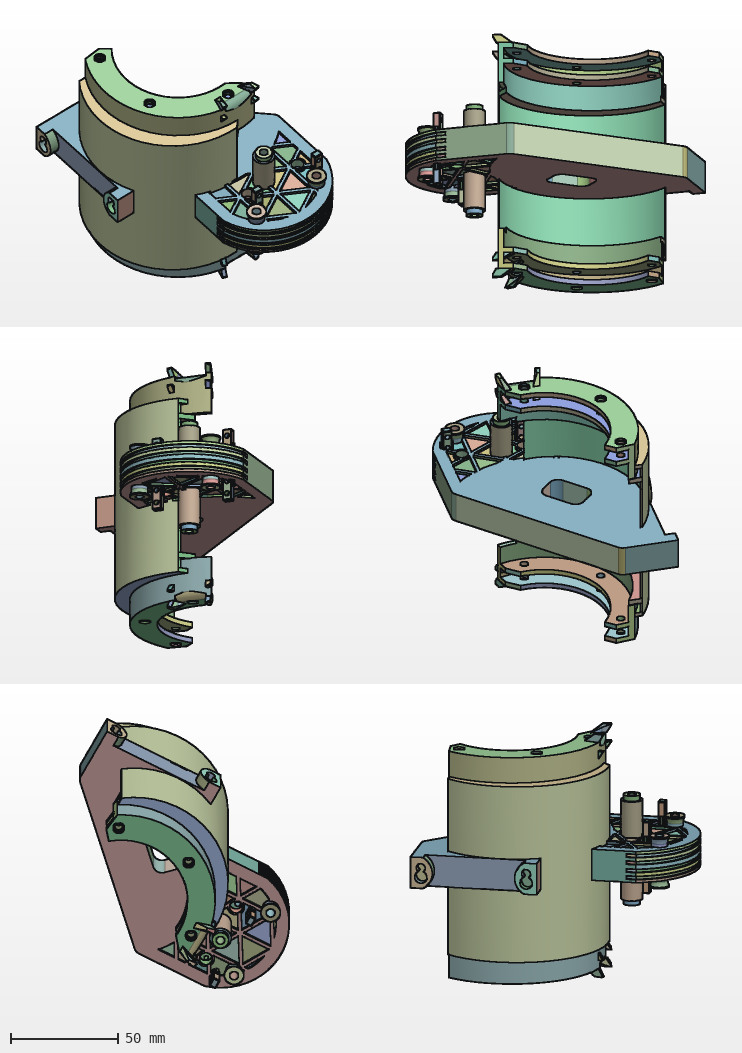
import cadquery as cq
import math


OVERALL_HALF = 117.1 / 2

PLATE_HALF = 7.5
PLATE_LEFT = -36.9
PLATE_TOP = 37.0
PLATE_CORNER_RADIUS = 4.3
SLOPE_OFFSET = 9.5
FOOT_BOTTOM = -54.87
FOOT_RIGHT = 23.0

LOBE_CENTER = (55.68, 6.1)
LOBE_RADIUS = 32.0
LOBE_FLAT = PLATE_TOP - LOBE_CENTER[1]

FOOT_RECESS_TOP = -50.0
FOOT_MID_X = (PLATE_LEFT + FOOT_RIGHT) / 2
PAD_RADIUS = 8.6
PAD_CENTER_INSET = 1.8
KEYHOLE_INSET = 4.95
KEYHOLE_DEPTH = 4.0
KEYHOLE_SMALL = (2.1, 2.35)
KEYHOLE_LARGE = (2.9, -2.05)

WINDOW_CENTER = (15.0, -14.7)
WINDOW_SIZE = (21.6, 14.9)
WINDOW_RADIUS = 4.3

GRID_DEPTH = 1.2
GRID_RIM = 6.1
GRID_DRUM_CLEARANCE_RADIUS = 47.6
RIB_WIDTH = 1.75
RIB_PITCH = 17.3
RIB_ROW = RIB_PITCH * math.sin(math.radians(60))
RIB_NODE = (57.1, 20.6)
RIB_LENGTH = 120.0
RIB_ROWS = 3
RIB_COLUMNS = (-2, 4)

ROLLER_RADIUS = 5.05
ROLLER_HALF = 23.9
ROLLER_END_RADIUS = 3.9
ROLLER_END_HALF = 26.4
ROLLER_HOLE_RADIUS = 1.95
ROLLER_HOLE_DEPTH = 10.0

SPOOL_X = 72.5
SPOOL_OFFSET = 17.95
SPOOL_BODY_RADIUS = 3.85
SPOOL_FLANGE_RADIUS = 4.55
SPOOL_FLARE_START = 9.1
SPOOL_FLANGE_START = 11.6
SPOOL_HALF = 12.3
SPOOL_HOLE_RADIUS = 2.05

SOCKET_X = 57.9
SOCKET_RADIUS = 3.0
SOCKET_BOSS_RADIUS = 3.9
SOCKET_DEPTH = 5.0
SOCKETS = [
    (24.5, 0.9, 1.4, 1.0),
    (-5.1, 0.9, 0.0, 1.3),
]

STRIP_SIZE = (3.4, 4.5)
STRIP_HALF = 17.3
STRIP_CENTERS = [(65.3, 29.9), (65.3, -5.7)]
STRIP_CHAMFER = 0.4
STRIP_HOLE_RADIUS = 1.15
STRIP_HOLE_HEIGHTS = (8.1, 14.1)
STRIP_RIB_WIDTH = 1.2
STRIP_RIB_REACH = 0.8
STRIP_RIB_HALF = 10.4

GROOVE_DEPTH = 1.0
GROOVE_WIDTH = 1.6
GROOVE_HEIGHTS = (-5.3, -1.9, 1.9, 5.3)
GROOVE_START_X = 59.4

SHELL_CENTER = (3.65, -6.15)
SHELL_RADIUS = 43.6
SHELL_WALL = 0.8
SHELL_LEFT = -21.9
SHELL_RIGHT_CUT = 44.0
SHELL_HALF = 42.4
INNER_FLANGE = (32.7, 35.3)
OUTER_FLANGE = (40.3, SHELL_HALF)

CAP_OUTER_RADIUS = 43.7
CAP_INNER_RADIUS = 30.9
CAP_WALL_RADIUS = 41.2
CAP_HALF = 54.65
CAP_WALL_START = INNER_FLANGE[1]
CAP_PLATES = [(44.5, 47.0), (52.1, CAP_HALF)]
CAP_LEFT_ANGLE = -129.1
CAP_RIGHT_ANGLE = 6.3
CAP_LEFT_CORNER = (-23.25, -28.6)
CAP_RIGHT_CORNER = (35.5, 9.4)
CAP_LEFT_END_X = -22.2
CAP_RIGHT_END_Y = 11.45
SCREW_CIRCLE = 36.9
SCREW_ANGLES = (0, -60, -120)
SCREW_RADIUS = 1.85
SCREW_HEAD_RADIUS = 2.6
SCREW_HEAD_DEPTH = 1.0

TAB_MID_Y = 1.2
TAB_PLAN = [(35.8, 6.4), (35.8, 9.5), (44.7, 12.0), (45.3, 9.8), (41.0, 8.4)]
TAB_ROOT_INNER_Y = 6.4
TAB_TIP_INNER_Y = 9.6
TAB_OUTER_Y = 12.0
TAB_ROOT_X = (36.0, 43.1)
TAB_TIP_X = (41.0, 45.3)
TAB_HEIGHTS = (3.4, OVERALL_HALF - CAP_HALF)
RIM_ROUND_RADIUS = 4.3
RIM_ROUND_INNER_X = 39.5
RIM_ROUND_Y = (-6.5, 9.0)


def polar(radius, degrees):
    angle = math.radians(degrees)
    return (radius * math.cos(angle), radius * math.sin(angle))


def both_sides(shape):
    return shape.union(shape.mirror("XY"))


def post(x, y, radius, half):
    """Round post centred on Z = 0."""
    return cq.Workplane("XY", origin=(x, y, -half)).circle(radius).extrude(2 * half)


def disc(center, radius, bottom, top):
    return cq.Workplane("XY", origin=(center[0], center[1], bottom)).circle(radius).extrude(top - bottom)



def shell_clip(bottom, top):
    """Block that keeps the stretch of drum between its left and right ends."""
    reach = 60.0
    tip_y = 9.0
    outline = [
        (SHELL_LEFT, -reach),
        (reach, -reach),
        (reach, SHELL_RIGHT_CUT - reach),
        (SHELL_RIGHT_CUT - tip_y, tip_y),
        (SHELL_LEFT, SHELL_CENTER[1] - SHELL_RADIUS / 2),
    ]
    return cq.Workplane("XY", origin=(0, 0, bottom)).polyline(outline).close().extrude(top - bottom)


def make_shell():
    outer = disc(SHELL_CENTER, SHELL_RADIUS, -SHELL_HALF, SHELL_HALF)
    inner = disc(SHELL_CENTER, SHELL_RADIUS - SHELL_WALL, -SHELL_HALF, SHELL_HALF)
    return outer.cut(inner).intersect(shell_clip(-SHELL_HALF, SHELL_HALF))


def make_flange(bottom, top):
    """Web between the cap wall and the shell."""
    web = disc(SHELL_CENTER, SHELL_RADIUS, bottom, top)
    web = web.cut(disc((0, 0), CAP_WALL_RADIUS, bottom, top))
    return web.intersect(shell_clip(bottom, top))


def cap_sector(bottom, top):
    """Full-width cap sector between its two angled ends."""
    middle_angle = (CAP_LEFT_ANGLE + CAP_RIGHT_ANGLE) / 2
    right_end = (math.sqrt(CAP_OUTER_RADIUS**2 - CAP_RIGHT_END_Y**2), CAP_RIGHT_END_Y)
    left_end = (CAP_LEFT_END_X, -math.sqrt(CAP_OUTER_RADIUS**2 - CAP_LEFT_END_X**2))
    return (
        cq.Workplane("XY", origin=(0, 0, bottom))
        .moveTo(*polar(CAP_INNER_RADIUS, CAP_LEFT_ANGLE))
        .threePointArc(polar(CAP_INNER_RADIUS, middle_angle), polar(CAP_INNER_RADIUS, CAP_RIGHT_ANGLE))
        .lineTo(*CAP_RIGHT_CORNER)
        .lineTo(*right_end)
        .threePointArc(polar(CAP_OUTER_RADIUS, middle_angle), left_end)
        .lineTo(*CAP_LEFT_CORNER)
        .close()
        .extrude(top - bottom)
    )


def make_tab(base, height):
    """Snap tab, shaped by its plan, its lengthwise profile and its sloped inner side."""
    tip = base + height
    span = 60.0
    plan = cq.Workplane("XY", origin=(0, 0, base)).polyline(TAB_PLAN).close().extrude(height)
    lengthwise = [(TAB_ROOT_X[0], base), (TAB_TIP_X[0], tip), (TAB_TIP_X[1], tip), (TAB_ROOT_X[1], base)]
    side = [
        (TAB_ROOT_INNER_Y, base),
        (TAB_OUTER_Y, base),
        (TAB_OUTER_Y, tip),
        (TAB_TIP_INNER_Y, tip),
    ]
    tab = plan.intersect(cq.Workplane("XZ").polyline(lengthwise).close().extrude(span, both=True))
    return tab.intersect(cq.Workplane("YZ").polyline(side).close().extrude(span))


def rim_round():
    """Material removed to round the cap's top outer rim between the tabs."""
    start, end = RIM_ROUND_Y
    low = CAP_HALF - RIM_ROUND_RADIUS
    length = end - start
    block = cq.Workplane("XY").box(2 * RIM_ROUND_RADIUS, length, RIM_ROUND_RADIUS, centered=False)
    block = block.translate((RIM_ROUND_INNER_X, start, low))
    core = cq.Workplane("XZ", origin=(RIM_ROUND_INNER_X, end, low)).circle(RIM_ROUND_RADIUS).extrude(length)
    return block.cut(core)


def make_cap():
    wall = cap_sector(CAP_WALL_START, CAP_HALF)
    cap = wall.cut(disc((0, 0), CAP_WALL_RADIUS, CAP_WALL_START, CAP_HALF))
    for bottom, top in CAP_PLATES:
        cap = cap.union(cap_sector(bottom, top))
    cap = cap.cut(rim_round())
    for angle in SCREW_ANGLES:
        place = polar(SCREW_CIRCLE, angle)
        cap = cap.cut(disc(place, SCREW_RADIUS, CAP_PLATES[0][0], CAP_HALF))
        cap = cap.cut(disc(place, SCREW_HEAD_RADIUS, CAP_HALF - SCREW_HEAD_DEPTH, CAP_HALF))
    for (_, top), height in zip(CAP_PLATES, TAB_HEIGHTS):
        tab = make_tab(top, height)
        opposite = tab.mirror("XZ").translate((0, 2 * TAB_MID_Y, 0))
        cap = cap.union(tab).union(opposite)
    return cap


def make_drum():
    end = make_cap().union(make_flange(*INNER_FLANGE)).union(make_flange(*OUTER_FLANGE))
    return make_shell().union(both_sides(end))



def lobe_disc(inset, bottom, top):
    """Lobe outline, moved inward by the inset."""
    height = top - bottom
    flats = cq.Workplane("XY", origin=(*LOBE_CENTER, bottom))
    flats = flats.rect(4 * LOBE_RADIUS, 2 * (LOBE_FLAT - inset)).extrude(height)
    return disc(LOBE_CENTER, LOBE_RADIUS - inset, bottom, top).intersect(flats)


def make_plate():
    lobe_bottom = LOBE_CENTER[1] - LOBE_FLAT
    inner_radius = SHELL_RADIUS - SHELL_WALL
    center_x, center_y = SHELL_CENTER
    foot_top = (FOOT_RIGHT, center_y - math.sqrt(inner_radius**2 - (FOOT_RIGHT - center_x) ** 2))
    lobe_root = (center_x + math.sqrt(inner_radius**2 - (lobe_bottom - center_y) ** 2), lobe_bottom)
    arc_middle_angle = math.radians(-45)
    arc_middle = (
        center_x + inner_radius * math.cos(arc_middle_angle),
        center_y + inner_radius * math.sin(arc_middle_angle),
    )
    slope_low = (PLATE_LEFT, PLATE_LEFT + SLOPE_OFFSET)
    slope_high = (PLATE_TOP - SLOPE_OFFSET, PLATE_TOP)
    body = (
        cq.Workplane("XY", origin=(0, 0, -PLATE_HALF))
        .moveTo(PLATE_LEFT, FOOT_BOTTOM)
        .lineTo(FOOT_RIGHT, FOOT_BOTTOM)
        .lineTo(*foot_top)
        .threePointArc(arc_middle, lobe_root)
        .lineTo(LOBE_CENTER[0], lobe_bottom)
        .lineTo(LOBE_CENTER[0], PLATE_TOP)
        .lineTo(*slope_high)
        .lineTo(*slope_low)
        .close()
        .extrude(2 * PLATE_HALF)
    )
    for corner in (slope_low, slope_high):
        edge = cq.selectors.NearestToPointSelector((*corner, 0))
        body = body.edges("|Z").edges(edge).fillet(PLATE_CORNER_RADIUS)
    return body.union(lobe_disc(0, -PLATE_HALF, PLATE_HALF))


def foot_recess():
    """Space between the two rounded foot pads."""
    height = FOOT_RECESS_TOP - FOOT_BOTTOM
    width = FOOT_RIGHT - PLATE_LEFT
    recess = cq.Workplane("XY").box(width, height, 2 * PLATE_HALF)
    recess = recess.translate((FOOT_MID_X, FOOT_BOTTOM + height / 2, 0))
    for x in (PLATE_LEFT + PAD_CENTER_INSET, FOOT_RIGHT - PAD_CENTER_INSET):
        pad = cq.Workplane("XZ", origin=(x, FOOT_RECESS_TOP, 0)).circle(PAD_RADIUS).extrude(height)
        recess = recess.cut(pad)
    return recess


def keyholes():
    cutters = cq.Workplane("XY")
    for x in (PLATE_LEFT + KEYHOLE_INSET, FOOT_RIGHT - KEYHOLE_INSET):
        for radius, z in (KEYHOLE_SMALL, KEYHOLE_LARGE):
            hole = cq.Workplane("XZ", origin=(x, FOOT_BOTTOM + KEYHOLE_DEPTH, z))
            cutters = cutters.union(hole.circle(radius).extrude(KEYHOLE_DEPTH))
    return cutters


def window():
    length, width = WINDOW_SIZE
    block = cq.Workplane("XY").box(length, width, 2 * PLATE_HALF).edges("|Z").fillet(WINDOW_RADIUS)
    return block.rotate((0, 0, 0), (0, 0, 1), 45).translate((*WINDOW_CENTER, 0))


def rib(x, y, angle, bottom, height):
    bar = cq.Workplane("XY").box(RIB_LENGTH, RIB_WIDTH, height, centered=(True, True, False))
    return bar.rotate((0, 0, 0), (0, 0, 1), angle).translate((x, y, bottom))


def grid_pockets():
    """Pockets left between the ribs on the top face."""
    bottom = PLATE_HALF - GRID_DEPTH
    pockets = lobe_disc(GRID_RIM, bottom, PLATE_HALF)
    left = cq.Workplane("XY", origin=(LOBE_CENTER[0] - LOBE_RADIUS / 2, LOBE_CENTER[1], bottom))
    pockets = pockets.union(left.rect(LOBE_RADIUS, 2 * (LOBE_FLAT - GRID_RIM)).extrude(GRID_DEPTH))
    pockets = pockets.cut(disc((0, 0), GRID_DRUM_CLEARANCE_RADIUS, bottom, PLATE_HALF))
    node_x, node_y = RIB_NODE
    for row in range(RIB_ROWS):
        pockets = pockets.cut(rib(node_x, node_y - row * RIB_ROW, 0, bottom, GRID_DEPTH))
    for column in range(*RIB_COLUMNS):
        for angle in (60, -60):
            pockets = pockets.cut(rib(node_x + column * RIB_PITCH, node_y, angle, bottom, GRID_DEPTH))
    for y, _, _, _ in SOCKETS:
        pockets = pockets.cut(disc((SOCKET_X, y), SOCKET_BOSS_RADIUS, bottom, PLATE_HALF))
    return pockets


def make_sockets():
    cutters = cq.Workplane("XY")
    for y, hole_dx, hole_dy, hole_radius in SOCKETS:
        cup = disc((SOCKET_X, y), SOCKET_RADIUS, PLATE_HALF - SOCKET_DEPTH, PLATE_HALF)
        cutters = cutters.union(both_sides(cup))
        cutters = cutters.union(post(SOCKET_X + hole_dx, y + hole_dy, hole_radius, PLATE_HALF))
    return cutters


def grooves():
    """Grooves that follow the lobe edge from the lower flat round to the upper flat."""
    cutters = cq.Workplane("XY")
    for z in GROOVE_HEIGHTS:
        bottom = z - GROOVE_WIDTH / 2
        top = z + GROOVE_WIDTH / 2
        band = lobe_disc(0, bottom, top).cut(lobe_disc(GROOVE_DEPTH, bottom, top))
        keep = cq.Workplane("XY").box(LOBE_RADIUS * 2, LOBE_RADIUS * 3, 2 * PLATE_HALF)
        cutters = cutters.union(band.intersect(keep.translate((GROOVE_START_X + LOBE_RADIUS, 0, 0))))
    return cutters


def make_roller():
    x, y = LOBE_CENTER
    roller = post(x, y, ROLLER_RADIUS, ROLLER_HALF).union(post(x, y, ROLLER_END_RADIUS, ROLLER_END_HALF))
    hole = disc(LOBE_CENTER, ROLLER_HOLE_RADIUS, ROLLER_END_HALF - ROLLER_HOLE_DEPTH, ROLLER_END_HALF)
    return roller.cut(both_sides(hole))


def make_spool(y):
    """Spool with a flared flange at each end."""
    flare_middle = (
        SPOOL_BODY_RADIUS + (SPOOL_FLANGE_RADIUS - SPOOL_BODY_RADIUS) / 4,
        (SPOOL_FLARE_START + SPOOL_FLANGE_START) / 2,
    )
    half = (
        cq.Workplane("XZ")
        .lineTo(SPOOL_BODY_RADIUS, 0)
        .lineTo(SPOOL_BODY_RADIUS, SPOOL_FLARE_START)
        .threePointArc(flare_middle, (SPOOL_FLANGE_RADIUS, SPOOL_FLANGE_START))
        .lineTo(SPOOL_FLANGE_RADIUS, SPOOL_HALF)
        .lineTo(0, SPOOL_HALF)
        .close()
        .revolve(360, (0, 0, 0), (0, 1, 0))
    )
    return both_sides(half).translate((SPOOL_X, y, 0))


def make_strip(center):
    """Upright strip with cross holes and a short rib on its narrow sides."""
    width, depth = STRIP_SIZE
    strip = cq.Workplane("XY").box(width, depth, 2 * STRIP_HALF).edges().chamfer(STRIP_CHAMFER)
    for height in STRIP_HOLE_HEIGHTS:
        hole = cq.Workplane("YZ").center(0, height).circle(STRIP_HOLE_RADIUS).extrude(width, both=True)
        strip = strip.cut(both_sides(hole))
    side_rib = cq.Workplane("XY").box(STRIP_RIB_WIDTH, depth + 2 * STRIP_RIB_REACH, 2 * STRIP_RIB_HALF)
    side_rib = side_rib.cut(cq.Workplane("XY").box(width, depth, 2 * STRIP_HALF))
    return strip.union(side_rib).translate((*center, 0))


def make_bracket(shell):
    bracket = make_plate().cut(foot_recess()).cut(keyholes()).cut(window())
    bracket = bracket.cut(both_sides(grid_pockets())).cut(make_sockets()).cut(grooves())
    bracket = bracket.union(make_roller())
    for center in STRIP_CENTERS:
        bracket = bracket.union(make_strip(center))
    for side in (1, -1):
        y = LOBE_CENTER[1] + side * SPOOL_OFFSET
        bracket = bracket.union(make_spool(y))
        bracket = bracket.cut(post(SPOOL_X, y, SPOOL_HOLE_RADIUS, SPOOL_HALF))
    return bracket.cut(shell)


drum = make_drum()
bracket = make_bracket(make_shell())
result = cq.Compound.makeCompound([drum.val(), bracket.val()])